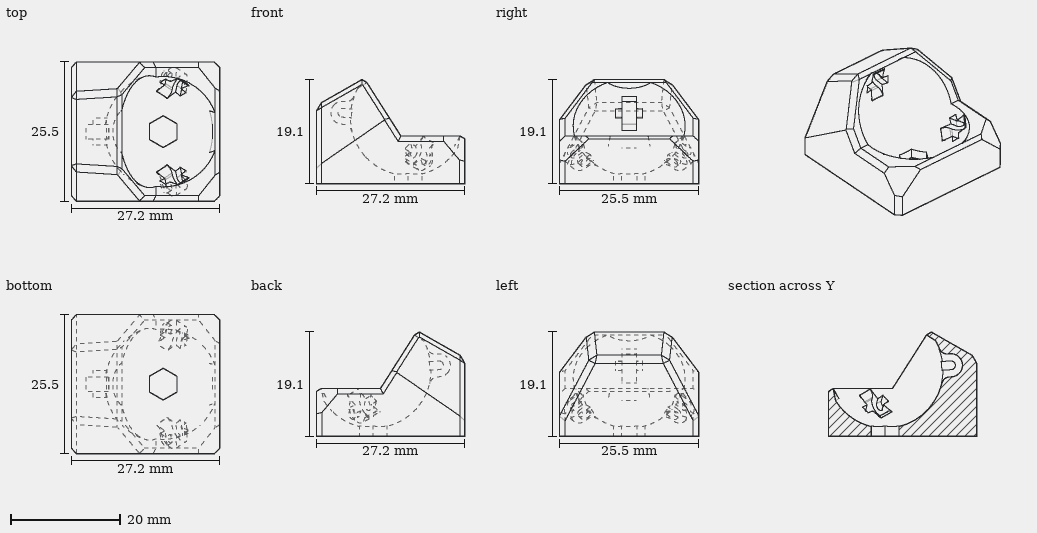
import cadquery as cq
import math

LENGTH = 27.22
WIDTH = 25.53
HEIGHT = 19.1
HALF_WIDTH = WIDTH / 2

BEVEL_X = 0.9
BEVEL_Y = 1.03
BEVEL_Z = 0.98
RIM_Y = HALF_WIDTH - BEVEL_Y

BACK_Z = 13.37
ROOF_Z = 14.85
RIDGE_X = 8.35
SLOPE_TOP_X = 9.25
SLOPE_TOP_Z = 18.56
DECK_START_X = 15.5
DECK_Z = 8.76
DECK_END_X = LENGTH - BEVEL_X
NOSE_Z = 8.25
DECK_ROOT_X = 10.9
slope_run = (DECK_START_X - SLOPE_TOP_X) / (SLOPE_TOP_Z - DECK_Z)

SOCKET_X = 16.82
SOCKET_Z = 12.17
SOCKET_R = 10.67
NOSE_WALL_Z = 6.95
NOSE_WALL_MID_Z = 6.53
NOSE_WALL_Y = 3.8
SOCKET_TILT = 30.0
ROLLER_ANGLES = (-60.0, 60.0, 180.0)
ROLLER_DROP = 26.0
ROLLER_DISTANCE = 12.09
ROLLER_DIA = 4.2
ROLLER_LENGTH = 2.6
AXLE_DIA = 1.6
AXLE_LENGTH = 4.95
MOUTH_RADIUS = 1.42
LIP_CLEARANCE = 0.03
MOUTH_OVERLAP = 0.27
HEX_FLATS = 5.0

BIG = 108.88
INSIDE = cq.Vector(LENGTH / 2, 0, 2.72)


def half_space(point, normal):
    """Block that fills the side of a plane its normal points to."""
    plane = cq.Plane(origin=point.toTuple(), normal=normal.toTuple())
    return cq.Workplane(plane).rect(BIG, BIG).extrude(BIG)


def cut_plane(body, corners):
    """Slice off what lies beyond the plane through three corners."""
    a, b, c = [cq.Vector(*corner) for corner in corners]
    normal = (b - a).cross(c - a).normalized()
    if normal.dot(INSIDE - a) > 0:
        normal = normal * -1
    return body.cut(half_space(a, normal))


def cut_both_sides(body, corners):
    """Slice a plane on the -Y side and its mirror image on the +Y side."""
    mirrored = [(x, -y, z) for x, y, z in corners]
    return cut_plane(cut_plane(body, corners), mirrored)


def extruded_profile(points):
    return cq.Workplane("XZ").polyline(points).close().extrude(HALF_WIDTH, both=True)


def wedge():
    """Tall back part with leaning sides and bevelled edges."""
    body = extruded_profile([
        (0, 0),
        (0, BACK_Z),
        (BEVEL_X, ROOF_Z),
        (RIDGE_X, HEIGHT),
        (SLOPE_TOP_X, SLOPE_TOP_Z),
        (DECK_START_X + slope_run * DECK_Z, 0),
    ])
    back_low = (0, -RIM_Y, 2.85)
    back_high = (0, -6.23, BACK_Z)
    roof_back = (BEVEL_X, -5.9, ROOF_Z)
    roof_front = (RIDGE_X, -6.37, HEIGHT)
    slope_high = (SLOPE_TOP_X, -6.78, SLOPE_TOP_Z)
    slope_low_z = 12.0
    slope_low = (DECK_START_X - slope_run * (slope_low_z - DECK_Z), -RIM_Y, slope_low_z)
    slope_foot = (DECK_START_X, -RIM_Y, DECK_Z)
    side_back_low = (BEVEL_X, -HALF_WIDTH, 3.7)
    side_back_high = (BEVEL_X, -7.4, 13.9)
    side_front_high = (RIDGE_X, -7.87, 18.18)
    side_front_low = (12.55, -HALF_WIDTH, 11.73)
    side_foot = (14.97, -HALF_WIDTH, DECK_Z - BEVEL_Z)

    faces = [
        (side_back_low, side_front_low, side_front_high),
        (roof_back, roof_front, side_front_high),
        (back_low, back_high, side_back_high),
        (slope_high, slope_low, side_front_low),
        (slope_low, slope_foot, side_foot),
        (roof_back, back_high, side_back_high),
        (roof_front, slope_high, side_front_high),
        (back_low, side_back_low, (0, -RIM_Y, 0)),
    ]
    for corners in faces:
        body = cut_both_sides(body, corners)
    return body


def deck():
    """Low flat part with bevelled rim and large front corners."""
    body = extruded_profile([
        (DECK_ROOT_X, 0),
        (DECK_ROOT_X, DECK_Z),
        (DECK_END_X, DECK_Z),
        (LENGTH, NOSE_Z),
        (LENGTH, 0),
    ])
    side_z = DECK_Z - BEVEL_Z
    corner_x = 23.33
    side_front = (LENGTH - BEVEL_Y, -HALF_WIDTH, 4.38)
    faces = [
        ((0, -RIM_Y, DECK_Z), (LENGTH, -RIM_Y, DECK_Z), (0, -HALF_WIDTH, side_z)),
        ((corner_x, -HALF_WIDTH, side_z), side_front, (DECK_END_X, -7.98, DECK_Z)),
        (side_front, (LENGTH - BEVEL_Y, -HALF_WIDTH, 0), (LENGTH, -RIM_Y, 0)),
    ]
    for corners in faces:
        body = cut_both_sides(body, corners)
    return body


def ball_reach(y, z):
    """X of the +X side of the ball surface at a given Y and Z."""
    return SOCKET_X + math.sqrt(SOCKET_R ** 2 - y ** 2 - (z - SOCKET_Z) ** 2)


def nose_wall():
    """Wall kept behind the nose: follows the ball at its foot and turns straight along the nose bevel."""
    foot_x = ball_reach(NOSE_WALL_Y, NOSE_WALL_Z)
    middle_x = ball_reach(0, NOSE_WALL_MID_Z)
    foot_fall = (NOSE_WALL_Z - NOSE_WALL_MID_Z) / (middle_x - foot_x)
    outer_x = SOCKET_X + SOCKET_R
    outer_z = NOSE_WALL_Z - foot_fall * (outer_x - foot_x)
    top_y = math.sqrt(SOCKET_R ** 2 - (DECK_Z - SOCKET_Z) ** 2 - (DECK_END_X - SOCKET_X) ** 2)

    foot_left = cq.Vector(foot_x, -NOSE_WALL_Y, NOSE_WALL_Z)
    foot_right = cq.Vector(foot_x, NOSE_WALL_Y, NOSE_WALL_Z)
    foot_arc = cq.Edge.makeThreePointArc(foot_left, cq.Vector(middle_x, 0, NOSE_WALL_MID_Z), foot_right)
    foot_back = cq.Wire.makePolygon([
        foot_right,
        cq.Vector(outer_x, NOSE_WALL_Y, outer_z),
        cq.Vector(outer_x, -NOSE_WALL_Y, outer_z),
        foot_left,
    ])
    foot = cq.Wire.assembleEdges([foot_arc] + foot_back.Edges())
    top = cq.Wire.makePolygon([
        cq.Vector(DECK_END_X, -top_y, DECK_Z),
        cq.Vector(DECK_END_X, top_y, DECK_Z),
        cq.Vector(outer_x, top_y, DECK_Z),
        cq.Vector(outer_x, -top_y, DECK_Z),
    ], close=True)
    return cq.Workplane(cq.Solid.makeLoft([foot, top], True))


def socket():
    """Ball socket, held back at the nose and at the ridge so that both bevels stay whole."""
    ball = cq.Workplane("XY").sphere(SOCKET_R).translate((SOCKET_X, 0, SOCKET_Z))
    up_slope = cq.Vector(-slope_run, 0, 1)
    ball = ball.cut(half_space(cq.Vector(SLOPE_TOP_X, 0, SLOPE_TOP_Z), up_slope))
    return ball.cut(nose_wall())


def roller_plane(angle):
    """Plane at the socket centre: local Y points at the roller, the normal runs along its axle."""
    tilt = math.radians(SOCKET_TILT)
    drop = math.radians(ROLLER_DROP)
    turn = math.radians(angle)
    axis = cq.Vector(math.sin(tilt), 0, math.cos(tilt))
    ahead = cq.Vector(math.cos(tilt), 0, -math.sin(tilt))
    side = cq.Vector(0, 1, 0)
    outward = ahead * math.cos(turn) + side * math.sin(turn)
    axle = side * math.cos(turn) - ahead * math.sin(turn)
    toward = outward * math.cos(drop) - axis * math.sin(drop)
    return cq.Plane(origin=(SOCKET_X, 0, SOCKET_Z), xDir=toward.cross(axle).toTuple(), normal=axle.toTuple())


def roller_pocket(angle):
    """Roller seat with rounded lips, crossed by a longer slot for its axle."""
    plane = roller_plane(angle)
    roller_r = ROLLER_DIA / 2
    axle_r = AXLE_DIA / 2
    lip_r = SOCKET_R + LIP_CLEARANCE

    arc_x = roller_r + MOUTH_RADIUS
    arc_distance = lip_r + MOUTH_RADIUS
    arc_y = math.sqrt(arc_distance ** 2 - arc_x ** 2)
    lip_x = arc_x * lip_r / arc_distance
    lip_y = arc_y * lip_r / arc_distance
    half_turn = math.atan2(arc_y, arc_x) / 2
    mid_x = arc_x - MOUTH_RADIUS * math.cos(half_turn)
    mid_y = arc_y - MOUTH_RADIUS * math.sin(half_turn)
    base = lip_y - MOUTH_OVERLAP

    seat = (
        cq.Workplane(plane)
        .moveTo(-lip_x, base)
        .lineTo(-lip_x, lip_y)
        .threePointArc((-mid_x, mid_y), (-roller_r, arc_y))
        .lineTo(-roller_r, ROLLER_DISTANCE)
        .threePointArc((0, ROLLER_DISTANCE + roller_r), (roller_r, ROLLER_DISTANCE))
        .lineTo(roller_r, arc_y)
        .threePointArc((mid_x, mid_y), (lip_x, lip_y))
        .lineTo(lip_x, base)
        .close()
        .extrude(ROLLER_LENGTH / 2, both=True)
    )
    axle_slot = (
        cq.Workplane(plane)
        .moveTo(-axle_r, base)
        .lineTo(-axle_r, ROLLER_DISTANCE)
        .threePointArc((0, ROLLER_DISTANCE + axle_r), (axle_r, ROLLER_DISTANCE))
        .lineTo(axle_r, base)
        .close()
        .extrude(AXLE_LENGTH / 2, both=True)
    )
    return seat.union(axle_slot)


def hex_hole():
    """Through hole under the socket, flats facing +X and -X."""
    corner_dia = HEX_FLATS / math.cos(math.radians(30))
    hexagon = cq.Workplane("XY").polygon(6, corner_dia).extrude(SOCKET_Z)
    return hexagon.rotate((0, 0, 0), (0, 0, 1), 30).translate((SOCKET_X, 0, 0))


result = wedge().union(deck()).cut(socket()).cut(hex_hole())
for roller_angle in ROLLER_ANGLES:
    result = result.cut(roller_pocket(roller_angle))